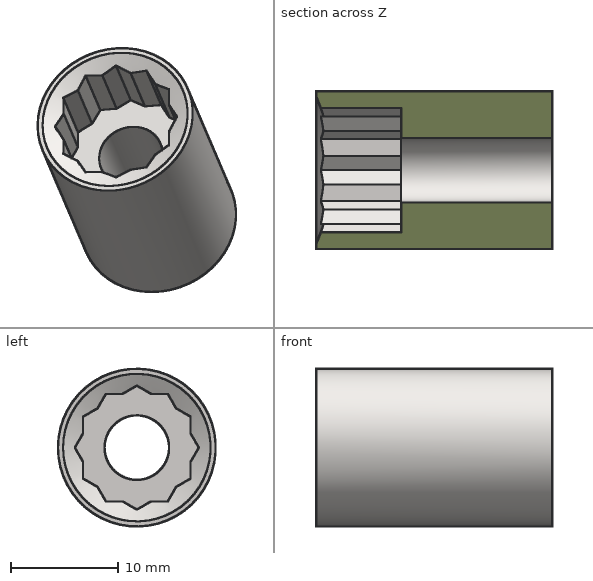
import cadquery as cq
import math

length = 22.0
outer_diameter = 14.7
across_flats = 9.99
socket_depth = 7.92
bore_diameter = 5.98
mouth_diameter = 13.73
mouth_angle = 68.0

across_corners = across_flats / math.cos(math.radians(30))


def hexagonal_prism(turn):
    """Hexagonal prism from the mouth face, turned about the X axis."""
    prism = cq.Workplane("YZ").polygon(6, across_corners).extrude(socket_depth)
    return prism.rotate((0, 0, 0), (1, 0, 0), turn)


def mouth_cone():
    """Full lead-in cone, widest at the mouth face and pointed inside."""
    mouth_radius = mouth_diameter / 2
    cone_depth = mouth_radius / math.tan(math.radians(mouth_angle))
    profile = [(0, 0), (0, mouth_radius), (cone_depth, 0)]
    return cq.Workplane("XY").polyline(profile).close().revolve(360, (0, 0, 0), (1, 0, 0))


body = cq.Workplane("YZ").circle(outer_diameter / 2).circle(bore_diameter / 2).extrude(length)

for turn in (0, 30):
    body = body.cut(hexagonal_prism(turn))

result = body.cut(mouth_cone())